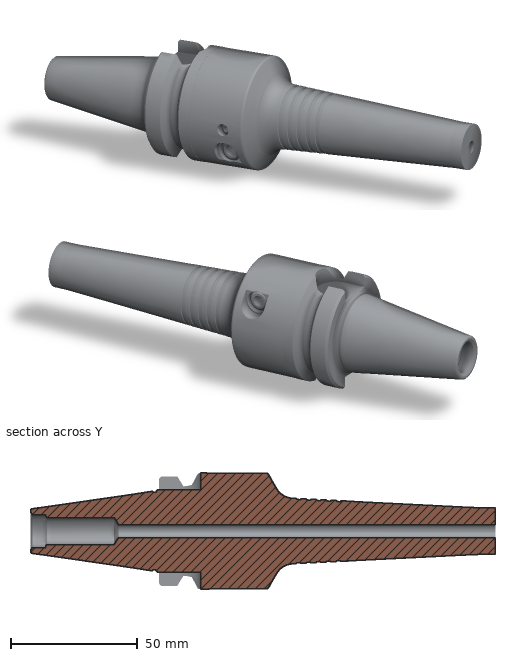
import cadquery as cq
import math

total_length = 183.4

taper_length = 48.5
taper_diameter = 31.7
taper_ratio = 7 / 24
taper_end_chamfer = 0.5
relief_diameter = 30.8
relief_end = 49.3
relief_step_diameter = 33.0
relief_step_length = 1.0
relief_rim_diameter = 34.8

flange_start = 50.6
flange_diameter = 46.0
flange_edge_chamfer = 1.0
groove_start = 58.0
groove_end = 66.0
groove_floor_diameter = 38.7
groove_wall_length = 2.4
flange_end = 70.5

body_diameter = 45.8
body_edge_radius = 1.1
shoulder_angle = math.radians(60)
neck_fillet_radius = 7.5
neck_fillet_angle = math.radians(54)

neck_start = 103.6
nose_length = 5.3
nose_diameter = 18.5
nose_taper_angle = math.radians(2.9)

ring_count = 5
ring_first = 104.9
ring_last = 120.7
ring_pitch = (ring_last - ring_first) / (ring_count - 1)
ring_width = 1.5
ring_depth = 0.4
ring_wall_slope = 0.5

mouth_diameter = 15.0
mouth_depth = 0.7
pilot_diameter = 12.8
pilot_depth = 5.9
thread_diameter = 12.0
thread_chamfer = 0.7
core_diameter = 10.5
core_end = 33.0
core_cone_depth = 1.7
through_diameter = 5.0

slot_width = 16.1
slot_floor_height = 16.3
slot_end = 67.1

screw_x = 85.5
screw_offset = 12.0
pocket_width = 10.3
pocket_floor = 16.3
screw_diameter = 9.0
screw_face_diameter = 6.5
screw_face_depth = 1.0
socket_diameter = 4.5
socket_depth = 2.8

vent_offset = 1.1
vent_diameter = 5.0
vent_face_diameter = 3.0
vent_face_depth = 3.7
vent_socket_diameter = 2.4
vent_socket_depth = 1.1
vent_tilt = 10

drill_tip_ratio = 0.3


def turned_blank():
    taper_radius = taper_diameter / 2
    small_radius = taper_radius - taper_length * taper_ratio / 2
    chamfer_radius = small_radius + taper_end_chamfer * taper_ratio / 2
    relief_radius = relief_diameter / 2
    flange_radius = flange_diameter / 2
    groove_radius = groove_floor_diameter / 2
    body_radius = body_diameter / 2

    nose_start = total_length - nose_length
    nose_radius = nose_diameter / 2
    neck_radius = nose_radius + (nose_start - neck_start) * math.tan(nose_taper_angle)

    def on_neck_fillet(angle):
        along = neck_start - neck_fillet_radius * math.sin(angle)
        out = neck_radius + neck_fillet_radius * (1 - math.cos(angle))
        return along, out

    fillet_start = on_neck_fillet(neck_fillet_angle)
    fillet_middle = on_neck_fillet(neck_fillet_angle / 2)
    shoulder_start = fillet_start[0] - (body_radius - fillet_start[1]) / math.tan(shoulder_angle)

    edge_start = shoulder_start - body_edge_radius * math.tan(shoulder_angle / 2)

    def on_body_edge(angle):
        along = edge_start + body_edge_radius * math.sin(angle)
        out = body_radius - body_edge_radius * (1 - math.cos(angle))
        return along, out

    profile = (
        cq.Workplane("XY")
        .moveTo(0, 0)
        .lineTo(0, chamfer_radius - taper_end_chamfer)
        .lineTo(taper_end_chamfer, chamfer_radius)
        .lineTo(taper_length, taper_radius)
        .lineTo(taper_length, relief_radius)
        .lineTo(relief_end, relief_radius)
        .lineTo(relief_end + relief_step_length, relief_step_diameter / 2)
        .lineTo(flange_start, relief_rim_diameter / 2)
        .lineTo(flange_start, flange_radius - flange_edge_chamfer)
        .lineTo(flange_start + flange_edge_chamfer, flange_radius)
        .lineTo(groove_start, flange_radius)
        .lineTo(groove_start + groove_wall_length, groove_radius)
        .lineTo(groove_end - groove_wall_length, groove_radius)
        .lineTo(groove_end, flange_radius)
        .lineTo(flange_end, flange_radius)
        .lineTo(flange_end, body_radius)
        .lineTo(edge_start, body_radius)
        .threePointArc(on_body_edge(shoulder_angle / 2), on_body_edge(shoulder_angle))
        .lineTo(*fillet_start)
        .threePointArc(fillet_middle, (neck_start, neck_radius))
        .lineTo(nose_start, nose_radius)
        .lineTo(total_length, nose_radius)
        .lineTo(total_length, 0)
        .close()
    )
    return profile.revolve(360, (0, 0, 0), (1, 0, 0))


def neck_rings():
    """List of ring cutters with flared walls, whose floors follow the neck taper."""
    nose_start = total_length - nose_length
    slope = math.tan(nose_taper_angle)
    rings = []
    for index in range(ring_count):
        start = ring_first + index * ring_pitch
        end = start + ring_width
        floor_at_start = nose_diameter / 2 + (nose_start - start) * slope - ring_depth
        floor_at_end = floor_at_start - ring_width * slope
        cutter_height = 2 * ring_depth
        outside = floor_at_start + cutter_height
        flare = cutter_height * ring_wall_slope
        ring = (
            cq.Workplane("XY")
            .moveTo(start, floor_at_start)
            .lineTo(end, floor_at_end)
            .lineTo(end + flare, outside)
            .lineTo(start - flare, outside)
            .close()
            .revolve(360, (0, 0, 0), (1, 0, 0))
        )
        rings.append(ring)
    return rings


def central_bore():
    core_cone_end = core_end + core_cone_depth
    core_start = pilot_depth + thread_chamfer
    bore = (
        cq.Workplane("XY")
        .moveTo(0, 0)
        .lineTo(0, mouth_diameter / 2)
        .lineTo(mouth_depth, pilot_diameter / 2)
        .lineTo(pilot_depth, pilot_diameter / 2)
        .lineTo(pilot_depth, thread_diameter / 2)
        .lineTo(core_start, core_diameter / 2)
        .lineTo(core_end, core_diameter / 2)
        .lineTo(core_cone_end, through_diameter / 2)
        .lineTo(total_length, through_diameter / 2)
        .lineTo(total_length, 0)
        .close()
    )
    return bore.revolve(360, (0, 0, 0), (1, 0, 0))


def drive_slot():
    """Slot on the +Z side, open towards the taper and rounded at its far end."""
    arc_centre = slot_end - slot_width / 2
    outline = (
        cq.Workplane("XY", origin=(0, 0, slot_floor_height))
        .moveTo(relief_end, -slot_width / 2)
        .lineTo(arc_centre, -slot_width / 2)
        .threePointArc((slot_end, 0), (arc_centre, slot_width / 2))
        .lineTo(relief_end, slot_width / 2)
        .close()
    )
    return outline.extrude(body_diameter / 2)


def set_screw_hole(diameter, face_diameter, face_depth, socket_diameter, socket_depth):
    """Cutter along -Z from the origin that leaves a chamfered set screw with a drilled socket."""
    radius = diameter / 2
    chamfer = (diameter - face_diameter) / 2
    socket_end = face_depth + socket_depth
    tip = socket_end + socket_diameter * drill_tip_ratio
    outline = (
        cq.Workplane("XZ")
        .moveTo(0, body_diameter)
        .lineTo(radius, body_diameter)
        .lineTo(radius, -face_depth - chamfer)
        .lineTo(face_diameter / 2, -face_depth)
        .lineTo(socket_diameter / 2, -face_depth)
        .lineTo(socket_diameter / 2, -socket_end)
        .lineTo(0, -tip)
        .close()
    )
    return outline.revolve(360, (0, 0, 0), (0, 1, 0))


def screw_pocket():
    """U-shaped pocket on the -Y side, open towards -Z, with a socket screw recess in its floor."""
    radius = pocket_width / 2
    reach = body_diameter / 2
    pocket = (
        cq.Workplane("XZ", origin=(screw_x, -pocket_floor, 0))
        .moveTo(-radius, -reach)
        .lineTo(-radius, -screw_offset)
        .threePointArc((0, radius - screw_offset), (radius, -screw_offset))
        .lineTo(radius, -reach)
        .close()
        .extrude(reach)
    )
    recess = set_screw_hole(
        screw_diameter, screw_face_diameter, screw_face_depth, socket_diameter, socket_depth
    ).rotate((0, 0, 0), (1, 0, 0), 90)
    recess = recess.translate((screw_x, -pocket_floor, -screw_offset))
    return pocket.union(recess)


def vent_hole():
    """Set screw hole on the -Y side that slopes down as it goes in."""
    hole = set_screw_hole(
        vent_diameter, vent_face_diameter, vent_face_depth, vent_socket_diameter, vent_socket_depth
    ).rotate((0, 0, 0), (1, 0, 0), 90 - vent_tilt)
    return hole.translate((screw_x, -body_diameter / 2, -vent_offset))


def opposite(cutter):
    """The same cutter turned half way round the X axis."""
    return cutter.rotate((0, 0, 0), (1, 0, 0), 180)


result = turned_blank().cut(central_bore())
for ring in neck_rings():
    result = result.cut(ring)
for cutter in (drive_slot(), screw_pocket()):
    result = result.cut(cutter).cut(opposite(cutter))
result = result.cut(vent_hole())